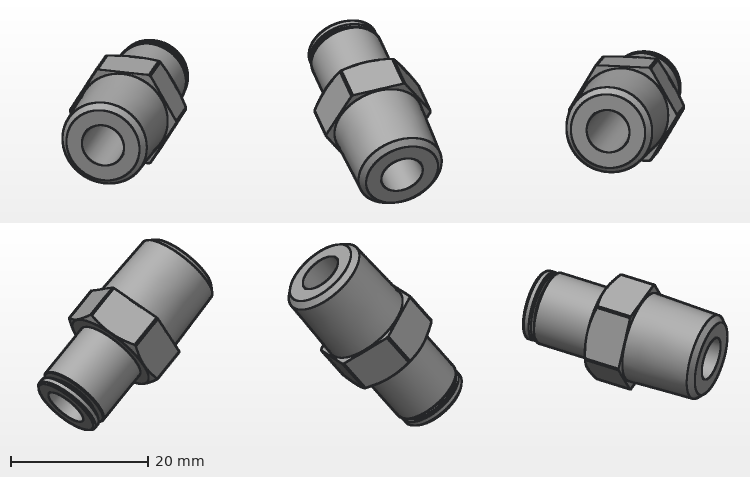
import cadquery as cq
import math

total_length = 28.0
bore_diameter = 6.35

ring_diameter = 10.45
ring_length = 1.3
ring_chamfer = 0.25
neck_diameter = 7.6
neck_length = 0.62

body_diameter = 10.85
body_length = 9.0
body_chamfer = 0.1

across_flats = 14.0
hex_length = 6.0
hex_corner_diameter = 16.02
hex_chamfer_angle = 30.0
hex_chamfer_face_diameter = 13.86

thread_root_diameter = 13.45
thread_end_diameter = 12.77
thread_chamfer_length = 0.9
thread_face_diameter = 11.04

y_start = -total_length / 2
y_end = total_length / 2
y_ring = y_end - ring_length
y_body_end = y_ring - neck_length
y_hex_end = y_body_end - body_length
y_hex_start = y_hex_end - hex_length


def revolve_profile(points):
    """Revolve a closed (radius, y) outline around the Y axis."""
    return cq.Workplane("XY").polyline(points).close().revolve(360, (0, 0, 0), (0, 1, 0))


def make_turned_body():
    """Thread, body, neck and ring as one solid of revolution."""
    thread_root_radius = thread_root_diameter / 2
    body_radius = body_diameter / 2
    neck_radius = neck_diameter / 2
    ring_radius = ring_diameter / 2
    return revolve_profile([
        (0, y_start),
        (thread_face_diameter / 2, y_start),
        (thread_end_diameter / 2, y_start + thread_chamfer_length),
        (thread_root_radius, y_hex_start),
        (body_radius, y_hex_start),
        (body_radius, y_body_end - body_chamfer),
        (body_radius - body_chamfer, y_body_end),
        (neck_radius, y_body_end),
        (neck_radius, y_ring),
        (ring_radius - ring_chamfer, y_ring),
        (ring_radius, y_ring + ring_chamfer),
        (ring_radius, y_end - ring_chamfer),
        (ring_radius - ring_chamfer, y_end),
        (0, y_end),
    ])


def make_hexagon():
    """Hexagon with its corners turned to a cylinder and a conical chamfer on its +Y face."""
    across_corners = across_flats / math.cos(math.radians(30))
    hexagon = (
        cq.Workplane("XZ", origin=(0, y_hex_end, 0))
        .polygon(6, across_corners)
        .extrude(hex_length)
    )
    face_radius = hex_chamfer_face_diameter / 2
    outer_radius = hex_corner_diameter / 2
    chamfer_depth = (outer_radius - face_radius) * math.tan(math.radians(hex_chamfer_angle))
    envelope = revolve_profile([
        (0, y_hex_start),
        (outer_radius, y_hex_start),
        (outer_radius, y_hex_end - chamfer_depth),
        (face_radius, y_hex_end),
        (0, y_hex_end),
    ])
    return hexagon.intersect(envelope)


def make_bore():
    """Plain bore through the full length."""
    return cq.Workplane("XZ", origin=(0, y_end, 0)).circle(bore_diameter / 2).extrude(total_length)


result = make_turned_body().union(make_hexagon()).cut(make_bore())